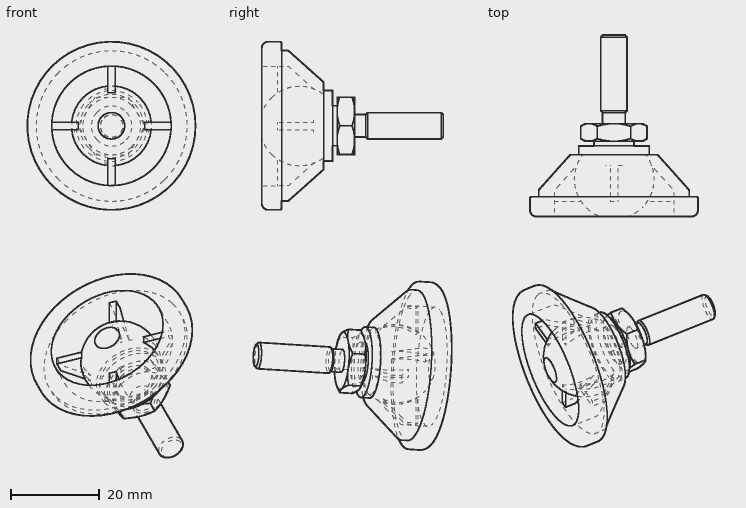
import cadquery as cq
import math

total_length = 41.0

flange_radius = 19.005
flange_height = 4.5
flange_base_fillet = 1.5
flange_top_fillet = 0.4
shoulder_radius = 17.0
cone_base_y = 6.0
cone_top_y = 14.0
cone_top_radius = 9.9
cone_base_fillet = 0.4
cone_top_fillet = 0.2
bore_radius = 13.5
bore_edge_fillet = 0.4
rib_count = 4
rib_width = 1.7
rib_front_y = 3.5

ball_radius = 9.0
ball_flat_radius = 3.0
ball_center_y = math.sqrt(ball_radius**2 - ball_flat_radius**2)
collar_radius = 8.0
collar_top_y = 16.0
neck_radius = 4.55
hex_sides = 6
hex_base_y = 17.0
hex_top_y = 21.0
hex_across_flats = 13.0
hex_chamfer_angle = 30.0
undercut_radius = 2.6
shaft_radius = 3.0
shaft_base_y = 23.5
shaft_tip_chamfer = 0.5

cone_slope = (shoulder_radius - cone_top_radius) / (cone_top_y - cone_base_y)
cavity_tip_y = cone_base_y + bore_radius / cone_slope


def revolve_about_y(profile):
    """Turn a closed (radius, Y) profile about the Y axis."""
    return profile.close().revolve(360, (0, 0, 0), (0, 1, 0))


def cylinder(radius, start_y, end_y):
    """Cylinder on the Y axis between two heights."""
    return revolve_about_y(
        cq.Workplane("XY")
        .moveTo(0, start_y)
        .lineTo(radius, start_y)
        .lineTo(radius, end_y)
        .lineTo(0, end_y)
    )


def make_ball():
    """Ball with a flat on the plane Y = 0."""
    return revolve_about_y(
        cq.Workplane("XY")
        .lineTo(ball_flat_radius, 0)
        .threePointArc((ball_radius, ball_center_y), (0, ball_center_y + ball_radius))
    )


def make_flange():
    flange = cylinder(flange_radius, 0, flange_height)
    flange = flange.faces("<Y").edges().fillet(flange_base_fillet)
    return flange.faces(">Y").edges().fillet(flange_top_fillet)


def make_cone():
    cone = revolve_about_y(
        cq.Workplane("XY")
        .lineTo(shoulder_radius, 0)
        .lineTo(shoulder_radius, cone_base_y)
        .lineTo(cone_top_radius, cone_top_y)
        .lineTo(0, cone_top_y)
    )
    cone = cone.faces(">Y").edges().fillet(cone_top_fillet)
    return cone.edges(cq.selectors.NearestToPointSelector((0, cone_base_y, 0))).fillet(cone_base_fillet)


def make_cavity():
    cavity = revolve_about_y(
        cq.Workplane("XY")
        .lineTo(bore_radius, 0)
        .lineTo(bore_radius, cone_base_y)
        .lineTo(0, cavity_tip_y)
    )
    return cavity.edges(cq.selectors.NearestToPointSelector((0, cone_base_y, 0))).fillet(bore_edge_fillet)


def make_ribs():
    """Radial ribs from the axis to the cavity wall, trimmed to the cavity."""
    rib_depth = cone_top_y - rib_front_y
    rib = cq.Workplane("XY").box(bore_radius, rib_depth, rib_width, centered=(False, False, True))
    rib = rib.translate((0, rib_front_y, 0))
    ribs = rib
    for index in range(1, rib_count):
        ribs = ribs.union(rib.rotate((0, 0, 0), (0, 1, 0), index * 360 / rib_count))
    return ribs.intersect(make_cavity())


def make_foot():
    foot = make_flange().union(make_cone())
    return foot.cut(make_cavity()).union(make_ribs()).cut(make_ball())


def make_hexagon():
    """Hexagon with two corners on the X axis and both ends chamfered to the inscribed circle."""
    flat_radius = hex_across_flats / 2
    corner_radius = flat_radius / math.cos(math.pi / hex_sides)
    chamfer_drop = (corner_radius - flat_radius) * math.tan(math.radians(hex_chamfer_angle))
    hexagon = (
        cq.Workplane("XZ", origin=(0, hex_top_y, 0))
        .polygon(hex_sides, 2 * corner_radius)
        .extrude(hex_top_y - hex_base_y)
    )
    chamfer_envelope = revolve_about_y(
        cq.Workplane("XY")
        .moveTo(0, hex_base_y)
        .lineTo(flat_radius, hex_base_y)
        .lineTo(corner_radius, hex_base_y + chamfer_drop)
        .lineTo(corner_radius, hex_top_y - chamfer_drop)
        .lineTo(flat_radius, hex_top_y)
        .lineTo(0, hex_top_y)
    )
    return hexagon.intersect(chamfer_envelope)


def make_shaft():
    """Plain shaft with a chamfered tip, above a narrower undercut."""
    return revolve_about_y(
        cq.Workplane("XY")
        .moveTo(0, hex_top_y)
        .lineTo(undercut_radius, hex_top_y)
        .lineTo(undercut_radius, shaft_base_y)
        .lineTo(shaft_radius, shaft_base_y + shaft_radius - undercut_radius)
        .lineTo(shaft_radius, total_length - shaft_tip_chamfer)
        .lineTo(shaft_radius - shaft_tip_chamfer, total_length)
        .lineTo(0, total_length)
    )


def make_ball_stud():
    """Ball, collar resting on the cone top, neck, hexagon and shaft in one piece."""
    collar = cylinder(collar_radius, cone_top_y, collar_top_y)
    neck = cylinder(neck_radius, collar_top_y, hex_base_y)
    ball = make_ball().intersect(cylinder(ball_radius, 0, collar_top_y))
    return ball.union(collar).union(neck).union(make_hexagon()).union(make_shaft())


ball_stud = make_ball_stud()
foot = make_foot()

result = cq.Compound.makeCompound([foot.solids().val(), ball_stud.solids().val()])